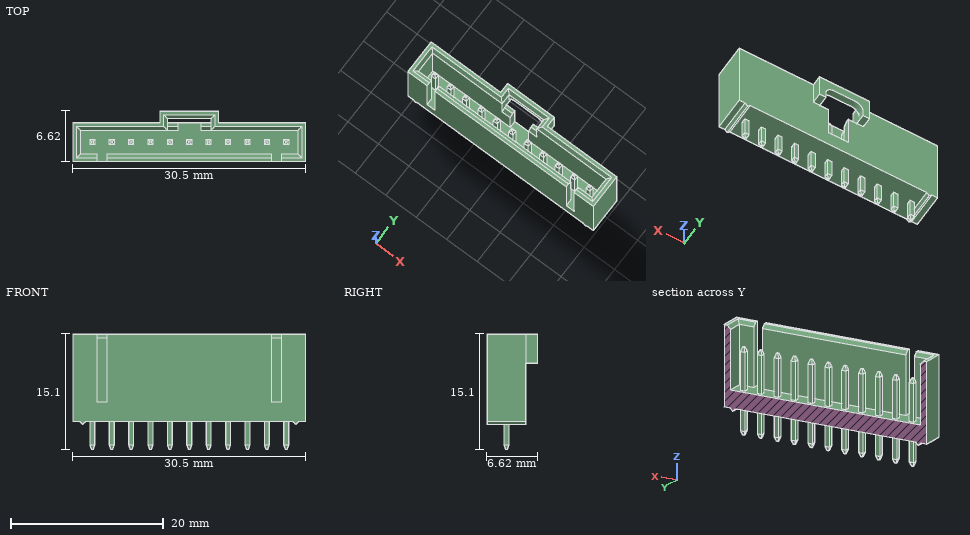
import cadquery as cq

length = 30.48
body_depth = 5.1
body_height = 11.45
wall = 1.0
floor_height = 2.55
lip_chamfer = 0.52

key_width = 7.68
key_projection = 1.52
key_height = 3.85
key_slot_width = 3.02
window_height = 2.3
window_corner_radius = 1.25

slot_width = 1.28
slot_offset = 11.43

ridge_offset = 13.95
ridge_width = 0.8
ridge_height = 0.4

pin_count = 11
pin_pitch = length / (pin_count + 1)
pin_width = 0.67
pin_tip_width = 0.25
pin_tip_length = 0.6
pin_below = 3.65
pin_top = 8.53

front = -body_depth / 2
rear = body_depth / 2
key_rear = rear + key_projection
key_bottom = body_height - key_height
key_inner_width = key_width - 2 * wall


def block(x_size, y_min, y_max, z_min, z_max, x_center=0):
    """Box centred on x_center and spanning the given Y and Z ranges."""
    box = cq.Workplane("XY").box(x_size, y_max - y_min, z_max - z_min, centered=(True, False, False))
    return box.translate((x_center, y_min, z_min))


def flared_pocket(x_size, y_min, y_max, z_min, z_max):
    """Pocket with straight walls and a 45 degree flare around its upper rim."""
    pocket = block(x_size, y_min, y_max, z_min, z_max)
    flare = (
        cq.Workplane("XY", origin=(0, (y_min + y_max) / 2, z_max - lip_chamfer))
        .rect(x_size, y_max - y_min)
        .workplane(offset=lip_chamfer)
        .rect(x_size + 2 * lip_chamfer, y_max - y_min + 2 * lip_chamfer)
        .loft()
    )
    return pocket.union(flare)


def make_shroud():
    shroud = block(length, front, rear, 0, body_height)
    shroud = shroud.union(block(key_width, front, key_rear, key_bottom, body_height))

    shroud = shroud.cut(
        flared_pocket(length - 2 * wall, front + wall, rear - wall, floor_height, body_height)
    )
    shroud = shroud.cut(
        flared_pocket(key_inner_width, front + wall, key_rear - wall, key_bottom, body_height)
    )

    ledge_chamfer = (
        cq.Workplane("YZ", origin=(-key_inner_width / 2, 0, 0))
        .moveTo(rear - wall, key_bottom)
        .line(lip_chamfer, 0)
        .line(-lip_chamfer, -lip_chamfer)
        .close()
        .extrude(key_inner_width)
    )
    shroud = shroud.cut(ledge_chamfer)
    shroud = shroud.cut(block(key_slot_width, 0, rear, floor_height, key_bottom))

    window = block(key_inner_width, rear, key_rear, key_bottom, key_bottom + window_height)
    shroud = shroud.cut(window.edges("|Y and >Z").fillet(window_corner_radius))

    for side in (-1, 1):
        shroud = shroud.cut(block(slot_width, front, 0, floor_height, body_height, side * slot_offset))
    return shroud


def make_ridge(x_center):
    return (
        cq.Workplane("XZ", origin=(x_center, rear, 0))
        .moveTo(-ridge_width / 2, 0)
        .lineTo(0, -ridge_height)
        .lineTo(ridge_width / 2, 0)
        .close()
        .extrude(body_depth)
    )


def make_pin(x_center):
    """Square pin through the floor, tapered at both ends."""
    shank_bottom = pin_tip_length - pin_below
    shank_top = pin_top - pin_tip_length
    pin = block(pin_width, -pin_width / 2, pin_width / 2, shank_bottom, shank_top)
    for start, direction in ((shank_bottom, -1), (shank_top, 1)):
        tip = (
            cq.Workplane("XY", origin=(0, 0, start))
            .rect(pin_width, pin_width)
            .workplane(offset=direction * pin_tip_length)
            .rect(pin_tip_width, pin_tip_width)
            .loft()
        )
        pin = pin.union(tip)
    return pin.translate((x_center, 0, 0))


result = make_shroud()
for ridge_side in (-1, 1):
    result = result.union(make_ridge(ridge_side * ridge_offset))
for index in range(pin_count):
    result = result.union(make_pin((index - (pin_count - 1) / 2) * pin_pitch))